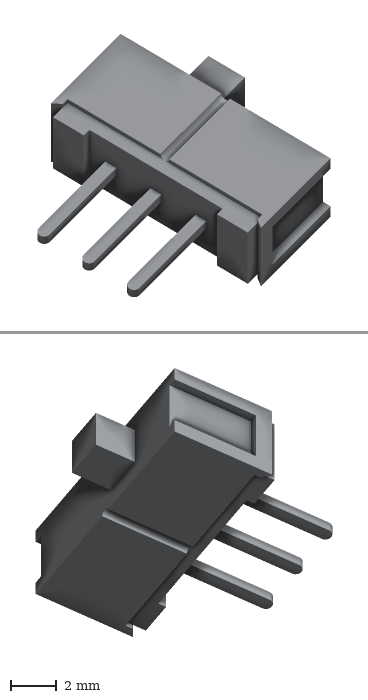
import cadquery as cq

HOUSING_WIDTH = 11.6
HOUSING_DEPTH = 5.0
HOUSING_HEIGHT = 4.0
LIP_ROOT_DEPTH = 4.71

BASE_WIDTH = 10.76
BASE_HEIGHT = 3.51
BASE_START = 4.35
FOOT_WIDTH = 1.7
FOOT_DEPTH = 0.4

LIP_THICKNESS = (HOUSING_WIDTH - BASE_WIDTH) / 2
RECESS_LENGTH = 4.19
RECESS_HEIGHT = 2.57
GROOVE_RADIUS = (HOUSING_HEIGHT - BASE_HEIGHT) / 2

SLIDER_SIZE = 2.01
SLIDER_OFFSET = -1.49

TOTAL_LENGTH = 12.1
PIN_COUNT = 3
PIN_PITCH = 2.48
PIN_WIDTH = 0.6
PIN_THICKNESS = 0.5
PIN_FACE_Y = -HOUSING_DEPTH
PIN_TIP_Y = SLIDER_SIZE - TOTAL_LENGTH


def plate(outline, height):
    """Extrude a closed XY outline symmetrically about Z = 0."""
    return outline.extrude(height / 2, both=True)


def make_shell():
    """Outer block whose two side lips end in slants beside the base."""
    half_width = HOUSING_WIDTH / 2
    half_base = BASE_WIDTH / 2
    outline = (
        cq.Workplane("XY")
        .moveTo(-half_width, 0)
        .lineTo(half_width, 0)
        .lineTo(half_width, -HOUSING_DEPTH)
        .lineTo(half_base, -LIP_ROOT_DEPTH)
        .lineTo(half_base, -BASE_START)
        .lineTo(-half_base, -BASE_START)
        .lineTo(-half_base, -LIP_ROOT_DEPTH)
        .lineTo(-half_width, -HOUSING_DEPTH)
        .close()
    )
    return plate(outline, HOUSING_HEIGHT)


def make_base():
    """Bar with a foot at each end, set between the side lips."""
    half_base = BASE_WIDTH / 2
    half_gap = half_base - FOOT_WIDTH
    foot_y = PIN_FACE_Y - FOOT_DEPTH
    outline = (
        cq.Workplane("XY")
        .moveTo(-half_base, -BASE_START)
        .lineTo(half_base, -BASE_START)
        .lineTo(half_base, foot_y)
        .lineTo(half_gap, foot_y)
        .lineTo(half_gap, PIN_FACE_Y)
        .lineTo(-half_gap, PIN_FACE_Y)
        .lineTo(-half_gap, foot_y)
        .lineTo(-half_base, foot_y)
        .close()
    )
    return plate(outline, BASE_HEIGHT)


def make_housing():
    """Shell and base in one solid, with side recesses and centre grooves."""
    housing = make_shell().union(make_base())
    for side in (-1, 1):
        recess_x = side * (HOUSING_WIDTH - LIP_THICKNESS) / 2
        recess = cq.Workplane("XY").box(LIP_THICKNESS, RECESS_LENGTH, RECESS_HEIGHT)
        housing = housing.cut(recess.translate((recess_x, -RECESS_LENGTH / 2, 0)))
        groove = (
            cq.Workplane("XZ")
            .center(0, side * HOUSING_HEIGHT / 2)
            .circle(GROOVE_RADIUS)
            .extrude(BASE_START)
        )
        housing = housing.cut(groove)
    return housing


def make_slider():
    """Square actuator standing on the +Y face of the housing."""
    slider = cq.Workplane("XY").box(SLIDER_SIZE, SLIDER_SIZE, SLIDER_SIZE)
    return slider.translate((SLIDER_OFFSET, SLIDER_SIZE / 2, 0))


def make_pin(x):
    """Flat terminal pin with a rounded tip, butting on the pin face."""
    radius = PIN_WIDTH / 2
    shoulder_y = PIN_TIP_Y + radius
    outline = (
        cq.Workplane("XY")
        .moveTo(x - radius, PIN_FACE_Y)
        .lineTo(x - radius, shoulder_y)
        .threePointArc((x, PIN_TIP_Y), (x + radius, shoulder_y))
        .lineTo(x + radius, PIN_FACE_Y)
        .close()
    )
    return plate(outline, PIN_THICKNESS)


housing = make_housing()
slider = make_slider()
pins = []
for index in range(PIN_COUNT):
    pin_x = (index - (PIN_COUNT - 1) / 2) * PIN_PITCH
    pins.append(make_pin(pin_x).val())

result = cq.Compound.makeCompound([housing.solids().val(), slider.val(), *pins])